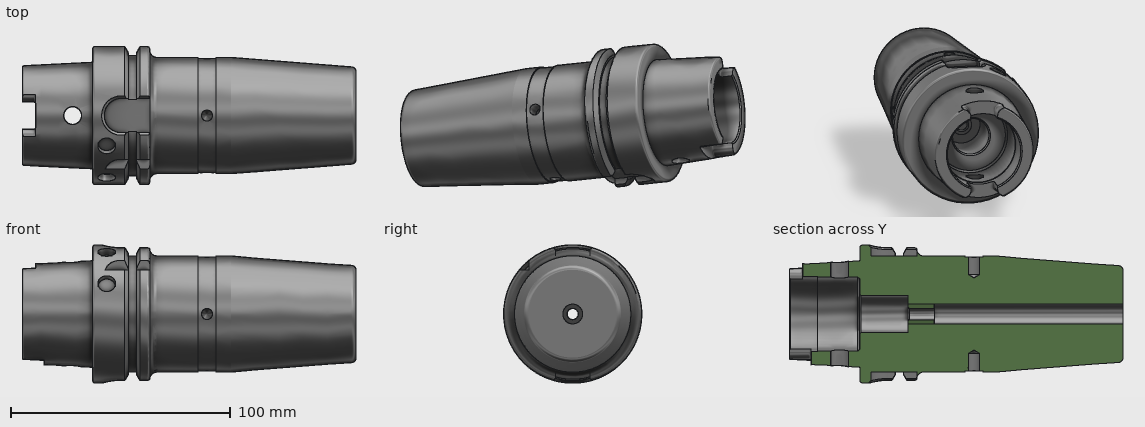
import cadquery as cq
import math


shank_length = 32.0
shank_end_radius = 22.7
shank_root_radius = 24.3
shank_end_round = 1.0

flange_radius = 31.5
flange_length = 26.0
flange_edge_round = 1.2
groove_center_x = 18.1
groove_floor_radius = 27.5
groove_floor_half_width = 1.8
groove_mouth_half_width = 3.5
groove_flank_height = (groove_mouth_half_width - groove_floor_half_width) * math.tan(math.radians(60))

nose_end_x = 119.95
nose_radius = 26.5
nose_root_round = 3.2
nose_taper_start_x = 63.0
nose_taper_angle = 4.5
nose_end_radius = nose_radius - (nose_end_x - nose_taper_start_x) * math.tan(math.radians(nose_taper_angle))
nose_end_round = 2.2
band_start_x = 48.0
band_end_x = 56.1
band_radius = 26.05
band_hole_diameter = 5.0
band_hole_depth = 8.0
band_hole_count = 4
drill_tip_angle = 118.0

cavity_radius = 17.0
cavity_mouth_chamfer = 0.6
cavity_step_x = -19.2
cavity_inner_radius = 16.8
cavity_floor_chamfer = 0.9
cavity_floor_x = 0.0
thread_radius = 8.4
thread_chamfer = 0.6
thread_depth = 22.0
screw_radius = 4.5

screw_length = 12.0
screw_hole_radius = 2.5
screw_countersink = 0.6

notch_half_width = 6.2
notch_lip_round = 3.3
notch_top_depth = 6.1
notch_bottom_depth = 9.9
notch_end_round = 1.0

cross_hole_x = -9.1
cross_hole_diameter = 8.0

keyway_half_width = 7.8
keyway_center_x = 13.1
keyway_floor = nose_radius
keyway_chamfer = 1.2

corner_notch_offset = 20.0
corner_notch_cutter_radius = 7.2
corner_notch_start_x = 12.3
marker_hole_x = 6.4
marker_hole_diameter = 8.0
marker_hole_depth = 3.6
marker_hole_angles = (26.2, 63.8)


def revolve_about_axis(profile):
    return profile.close().revolve(360, (0, 0, 0), (1, 0, 0))


def build_shank():
    profile = (
        cq.Workplane("XY")
        .moveTo(-shank_length, 0)
        .lineTo(-shank_length, shank_end_radius)
        .lineTo(0, shank_root_radius)
        .lineTo(0, 0)
    )
    return revolve_about_axis(profile).faces("<X").edges().fillet(shank_end_round)


def build_keyed_bar():
    """Round bar over the flange length, with two opposite round-ended keyways chamfered along their rims."""
    bar = cq.Workplane("YZ").circle(flange_radius).extrude(flange_length)
    run_out = flange_length - keyway_center_x
    round_end = cq.Workplane("XY").center(keyway_center_x, 0).circle(keyway_half_width).extrude(flange_radius)
    straight = cq.Workplane("XY").box(
        run_out, 2 * keyway_half_width, flange_radius, centered=(False, True, False)
    )
    cutter = round_end.union(straight.translate((keyway_center_x, 0, 0)))
    cutter = cutter.translate((0, 0, keyway_floor))
    bar = bar.cut(cutter).cut(cutter.mirror("XY"))
    rim_reach = keyway_half_width + keyway_chamfer
    for side in (1, -1):
        rim_zone = cq.selectors.BoxSelector(
            (keyway_center_x - rim_reach, -rim_reach, side * (keyway_floor + keyway_chamfer)),
            (flange_length - keyway_chamfer, rim_reach, side * (flange_radius + keyway_chamfer)),
        )
        bar = bar.edges(rim_zone).chamfer(keyway_chamfer)
    return bar


def build_flange_envelope():
    """Flange ring with rounded rims and the gripper groove."""
    groove_start_x = groove_center_x - groove_floor_half_width
    groove_end_x = groove_center_x + groove_floor_half_width
    flank_start_radius = flange_radius - groove_flank_height
    bend = flange_edge_round * (1 - math.sqrt(0.5))
    round_start_radius = flange_radius - flange_edge_round
    profile = (
        cq.Workplane("XY")
        .moveTo(0, 0)
        .lineTo(0, round_start_radius)
        .threePointArc((bend, flange_radius - bend), (flange_edge_round, flange_radius))
        .lineTo(groove_center_x - groove_mouth_half_width, flange_radius)
        .lineTo(groove_start_x, flank_start_radius)
        .lineTo(groove_start_x, groove_floor_radius)
        .lineTo(groove_end_x, groove_floor_radius)
        .lineTo(groove_end_x, flank_start_radius)
        .lineTo(groove_center_x + groove_mouth_half_width, flange_radius)
        .lineTo(flange_length - flange_edge_round, flange_radius)
        .threePointArc((flange_length - bend, flange_radius - bend), (flange_length, round_start_radius))
        .lineTo(flange_length, 0)
    )
    return revolve_about_axis(profile)


def build_corner_notch_cutter():
    """End-mill path with its axis along Z, leaving a wall facing -Y and a floor facing +Z."""
    size = flange_radius
    mill_y = -corner_notch_offset - corner_notch_cutter_radius
    mill_end = (
        cq.Workplane("XY")
        .center(corner_notch_start_x, mill_y)
        .circle(corner_notch_cutter_radius)
        .extrude(size)
    )
    path = cq.Workplane("XY").box(
        flange_length - corner_notch_start_x, 2 * corner_notch_cutter_radius, size, centered=(False, True, False)
    )
    cutter = mill_end.union(path.translate((corner_notch_start_x, mill_y, 0)))
    return cutter.translate((0, 0, corner_notch_offset))


def build_marker_hole_cutter(angle):
    """Flat-bottomed radial hole; the angle is measured from -Y toward +Z."""
    hole = (
        cq.Workplane("XY")
        .workplane(offset=flange_radius - marker_hole_depth)
        .center(marker_hole_x, 0)
        .circle(marker_hole_diameter / 2)
        .extrude(2 * marker_hole_depth)
    )
    return hole.rotate((0, 0, 0), (1, 0, 0), 90 - angle)


def build_flange():
    flange = build_flange_envelope().intersect(build_keyed_bar())
    flange = flange.cut(build_corner_notch_cutter())
    for angle in marker_hole_angles:
        flange = flange.cut(build_marker_hole_cutter(angle))
    return flange


def build_band_hole_cutter(angle):
    """Radial hole with a drill-point bottom, entering the +Z side and then turned about the axis."""
    radius = band_hole_diameter / 2
    floor = band_radius - band_hole_depth
    tip = floor - radius / math.tan(math.radians(drill_tip_angle / 2))
    hole = (
        cq.Workplane("XZ")
        .moveTo(0, tip)
        .lineTo(radius, floor)
        .lineTo(radius, nose_radius)
        .lineTo(0, nose_radius)
        .close()
        .revolve(360, (0, 0, 0), (0, 1, 0))
    )
    hole = hole.translate(((band_start_x + band_end_x) / 2, 0, 0))
    return hole.rotate((0, 0, 0), (1, 0, 0), angle)


def build_nose():
    root_round_end_x = flange_length + nose_root_round
    bend = nose_root_round * (1 - math.sqrt(0.5))
    profile = (
        cq.Workplane("XY")
        .moveTo(flange_length, 0)
        .lineTo(flange_length, nose_radius + nose_root_round)
        .threePointArc((flange_length + bend, nose_radius + bend), (root_round_end_x, nose_radius))
        .lineTo(band_start_x, nose_radius)
        .lineTo(band_start_x, band_radius)
        .lineTo(band_end_x, band_radius)
        .lineTo(band_end_x, nose_radius)
        .lineTo(nose_taper_start_x, nose_radius)
        .lineTo(nose_end_x, nose_end_radius)
        .lineTo(nose_end_x, 0)
    )
    nose = revolve_about_axis(profile).faces(">X").edges().fillet(nose_end_round)
    for index in range(band_hole_count):
        nose = nose.cut(build_band_hole_cutter(index * 360 / band_hole_count))
    return nose


def build_axial_bore_cutter():
    thread_end_x = cavity_floor_x + thread_depth
    profile = (
        cq.Workplane("XY")
        .moveTo(-shank_length, 0)
        .lineTo(-shank_length, cavity_radius + cavity_mouth_chamfer)
        .lineTo(-shank_length + cavity_mouth_chamfer, cavity_radius)
        .lineTo(cavity_step_x, cavity_radius)
        .lineTo(cavity_step_x, cavity_inner_radius)
        .lineTo(cavity_floor_x - cavity_floor_chamfer, cavity_inner_radius)
        .lineTo(cavity_floor_x, cavity_inner_radius - cavity_floor_chamfer)
        .lineTo(cavity_floor_x, thread_radius + thread_chamfer)
        .lineTo(cavity_floor_x + thread_chamfer, thread_radius)
        .lineTo(thread_end_x, thread_radius)
        .lineTo(thread_end_x, screw_radius)
        .lineTo(nose_end_x, screw_radius)
        .lineTo(nose_end_x, 0)
    )
    return revolve_about_axis(profile)


def build_notch_cutter(depth, side):
    """Drive notch whose two long outer edges are rounded over onto the shank.

    The walls blend into the closed end of the notch.
    """
    lip_half_width = notch_half_width + notch_lip_round
    lip_z = math.sqrt(shank_end_radius**2 - lip_half_width**2)
    wall_z = lip_z - notch_lip_round
    bend = notch_lip_round * (1 - math.sqrt(0.5))
    slot = (
        cq.Workplane("YZ")
        .moveTo(-notch_half_width, 0)
        .lineTo(-notch_half_width, wall_z)
        .threePointArc((-notch_half_width - bend, lip_z - bend), (-lip_half_width, lip_z))
        .lineTo(-lip_half_width, flange_radius)
        .lineTo(lip_half_width, flange_radius)
        .lineTo(lip_half_width, lip_z)
        .threePointArc((notch_half_width + bend, lip_z - bend), (notch_half_width, wall_z))
        .lineTo(notch_half_width, 0)
        .close()
        .extrude(depth)
    )
    wall_edges = cq.selectors.BoxSelector(
        (depth - notch_end_round, -lip_half_width, notch_end_round),
        (depth + notch_end_round, lip_half_width, lip_z - notch_end_round),
    )
    cutter = slot.edges(wall_edges).fillet(notch_end_round).translate((-shank_length, 0, 0))
    if side < 0:
        cutter = cutter.mirror("XY")
    return cutter


def build_cross_hole_cutter():
    return (
        cq.Workplane("XY")
        .workplane(offset=-shank_root_radius)
        .center(cross_hole_x, 0)
        .circle(cross_hole_diameter / 2)
        .extrude(2 * shank_root_radius)
    )


def build_holder():
    holder = build_shank().union(build_flange()).union(build_nose())
    holder = holder.cut(build_axial_bore_cutter())
    holder = holder.cut(build_notch_cutter(notch_top_depth, 1))
    holder = holder.cut(build_notch_cutter(notch_bottom_depth, -1))
    return holder.cut(build_cross_hole_cutter())


def build_setting_screw():
    start_x = cavity_floor_x + thread_depth
    profile = (
        cq.Workplane("XY")
        .moveTo(start_x, screw_hole_radius + screw_countersink)
        .lineTo(start_x, screw_radius)
        .lineTo(start_x + screw_length, screw_radius)
        .lineTo(start_x + screw_length, screw_hole_radius)
        .lineTo(start_x + screw_countersink, screw_hole_radius)
    )
    return revolve_about_axis(profile)


holder = build_holder()
setting_screw = build_setting_screw()

result = cq.Compound.makeCompound([holder.val(), setting_screw.val()])